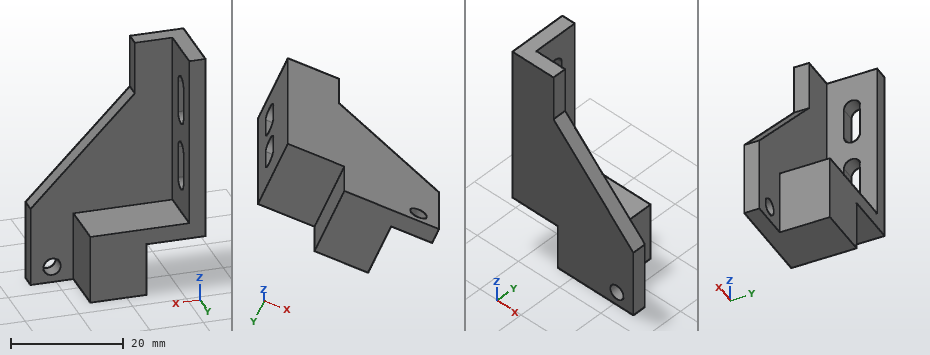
import cadquery as cq

height = 45.0
width = 29.4
depth = 13.0
wall = 3.0

foot_height = 10.0
foot_start = 11.0
tab_width = 10.0
slope_top = 35.0
slope_bottom = 15.05

block_end = 21.4
block_top = foot_height + wall

hole_diameter = 3.2
hole_from_end = 4.0
hole_height = 3.0
slot_width = 3.2
slot_length = 9.22
slot_y = 8.0
slot_heights = (22.05, 35.0)


def make_side_plate():
    """Stepped plate standing along X, with its front face at Y = 0."""
    outline = [
        (0, foot_height),
        (foot_start, foot_height),
        (foot_start, 0),
        (width, 0),
        (width, slope_bottom),
        (tab_width, slope_top),
        (tab_width, height),
        (0, height),
    ]
    return cq.Workplane("XZ").polyline(outline).close().extrude(-wall)


def make_slotted_wall():
    """Upright wall along Y, square to the side plate."""
    return cq.Workplane("XY").box(wall, depth, height - foot_height, centered=False).translate(
        (0, 0, foot_height)
    )


def make_block():
    """Shelf reaching from the wall over the foot, with the foot solid below it."""
    outline = [
        (0, foot_height),
        (foot_start, foot_height),
        (foot_start, 0),
        (block_end, 0),
        (block_end, block_top),
        (0, block_top),
    ]
    return cq.Workplane("XZ").polyline(outline).close().extrude(-depth)


def make_hole():
    """Round hole through the side plate, near the end of the foot."""
    return (
        cq.Workplane("XZ")
        .center(width - hole_from_end, hole_height)
        .circle(hole_diameter / 2)
        .extrude(-wall)
    )


def make_slots():
    """Two upright slots, one above the other, through the wall."""
    return (
        cq.Workplane("YZ")
        .pushPoints([(slot_y, z) for z in slot_heights])
        .slot2D(slot_length, slot_width, 90)
        .extrude(wall)
    )


body = make_side_plate().union(make_slotted_wall()).union(make_block())
result = body.cut(make_hole()).cut(make_slots())